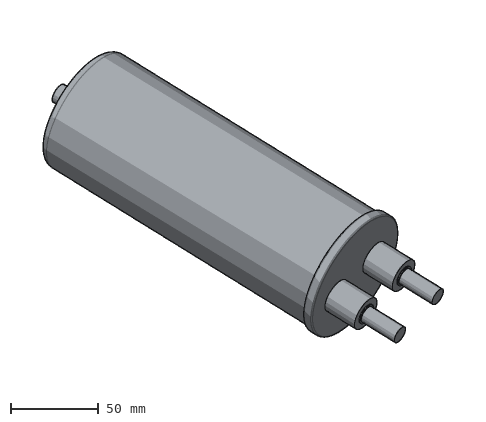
import cadquery as cq

total_length = 261.0
stud_length = 16.0
can_length = 192.5
rim_thickness = 6.3
sleeve_length = 21.5
collar_length = 0.8

stud_diameter = 12.0
can_diameter = 76.2
rim_diameter = 80.0
sleeve_diameter = 21.0
collar_diameter = 12.5
terminal_diameter = 10.5

can_end_radius = 5.2
rim_edge_radius = 0.8
terminal_spacing = 35.0

stud_start = -total_length / 2
can_start = stud_start + stud_length
rim_start = can_start + can_length
rim_end = rim_start + rim_thickness
sleeve_end = rim_end + sleeve_length
collar_end = sleeve_end + collar_length
terminal_end = total_length / 2


def rod(diameter, start, end, y=0.0):
    """Solid cylinder parallel to X, from start to end, with its axis at the given Y."""
    base = cq.Workplane("YZ", origin=(start, y, 0))
    return base.circle(diameter / 2).extrude(end - start)


def terminal(y):
    """Stepped terminal: wide sleeve, thin collar and slim pin, all rooted inside the rim."""
    sleeve = rod(sleeve_diameter, rim_start, sleeve_end, y)
    collar = rod(collar_diameter, rim_start, collar_end, y)
    pin = rod(terminal_diameter, rim_start, terminal_end, y)
    return sleeve.union(collar).union(pin)


can = rod(can_diameter, can_start, rim_end).faces("<X").edges().fillet(can_end_radius)
rim = rod(rim_diameter, rim_start, rim_end).edges("%CIRCLE").fillet(rim_edge_radius)

stud = rod(stud_diameter, stud_start, can_start + can_end_radius)

result = can.union(rim).union(stud)
for side in (-1, 1):
    result = result.union(terminal(side * terminal_spacing / 2))